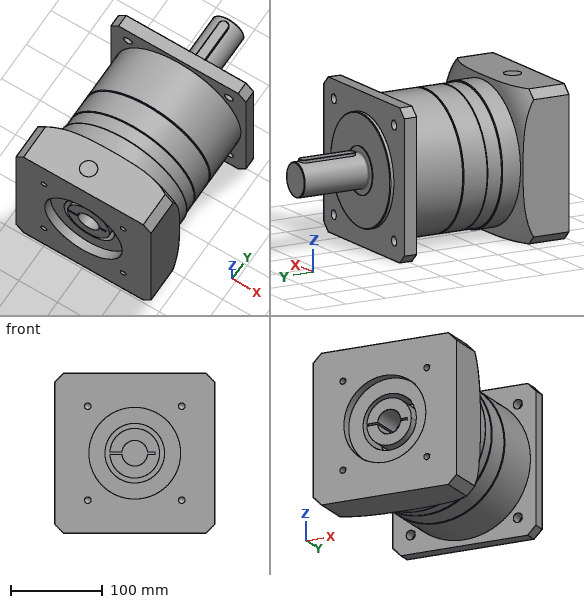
import cadquery as cq
import math


SHAFT_TIP = 294.5
SHOULDER_FACE = 213.5
PILOT_FACE = 212.5
FLANGE_FACE = 208.0
FLANGE_BACK = 192.3
HOUSING_END = 129.5
RING_GEAR_END = 98.7
COLLAR_START = 81.5
BLOCK_FACE = 58.3

SQUARE = 175.0
CORNER_CHAMFER = 10.0

EDGE_CHAMFER = 1.0

SHAFT_DIAMETER = 40.0
SHAFT_CHAMFER = 1.0
SHOULDER_DIAMETER = 55.0
SHOULDER_FILLET = 1.0
KEY_WIDTH = 12.0
KEY_LENGTH = 70.0
KEY_TOP = 22.7
KEY_HEIGHT = 8.0
KEY_CHAMFER = 0.45
KEY_TIP_MARGIN = 5.0

PILOT_DIAMETER = 130.0
PILOT_CHAMFER = 1.0
HOUSING_DIAMETER = 162.0
MOUNT_HOLE_DIAMETER = 11.0
MOUNT_HOLE_SPACING = 130.8

NECK_DIAMETER = HOUSING_DIAMETER
COLLAR_DIAMETER = 165.0
BLOCK_ROUND = 50.0
RECESS_DIAMETER = 100.0
RECESS_DEPTH = 11.8
CHAMBER_DIAMETER = 65.0
CHAMBER_DEPTH = 41.2
MOTOR_HOLE_DIAMETER = 7.0
MOTOR_HOLE_SPACING = 102.5
MOTOR_HOLE_DEPTH = 20.0
DRILL_TIP_ANGLE = 118.0

HUB_DIAMETER = 54.2
HUB_BORE = 28.0
HUB_PROTRUSION = 1.5
SLIT_WIDTH = 2.5
SLIT_INNER_END = 22.0

PLUG_DIAMETER = 20.0
PLUG_X = -10.0
PLUG_Y = 26.2
PLUG_THICKNESS = 6.0


def cylinder(diameter, y_start, y_end, x=0.0, z=0.0):
    axis_plane = cq.Workplane("XZ", origin=(x, y_start, z))
    return axis_plane.circle(diameter / 2).extrude(y_start - y_end)


def square_plate(y_start, y_end):
    plate = cq.Workplane("XZ", origin=(0, y_start, 0)).rect(SQUARE, SQUARE).extrude(y_start - y_end)
    return plate.edges("|Y").chamfer(CORNER_CHAMFER)


def corner_points(spacing):
    return [(sx * spacing / 2, sz * spacing / 2) for sx in (-1, 1) for sz in (-1, 1)]


def make_key():
    center_y = SHAFT_TIP - KEY_TIP_MARGIN - KEY_LENGTH / 2
    base = cq.Workplane("XY", origin=(0, center_y, KEY_TOP - KEY_HEIGHT))
    key = base.slot2D(KEY_LENGTH, KEY_WIDTH, 90).extrude(KEY_HEIGHT)
    return key.faces(">Z").chamfer(KEY_CHAMFER)


def make_shaft():
    """Journal with a chamfered tip and a filleted foot on a wider shoulder, plus its key."""
    radius = SHAFT_DIAMETER / 2
    shoulder_radius = SHOULDER_DIAMETER / 2
    shaft = (
        cq.Workplane("XY")
        .moveTo(0, FLANGE_BACK)
        .lineTo(shoulder_radius, FLANGE_BACK)
        .lineTo(shoulder_radius, SHOULDER_FACE)
        .lineTo(radius + SHOULDER_FILLET, SHOULDER_FACE)
        .radiusArc((radius, SHOULDER_FACE + SHOULDER_FILLET), SHOULDER_FILLET)
        .lineTo(radius, SHAFT_TIP - SHAFT_CHAMFER)
        .lineTo(radius - SHAFT_CHAMFER, SHAFT_TIP)
        .lineTo(0, SHAFT_TIP)
        .close()
        .revolve(360, (0, 0, 0), (0, 1, 0))
    )
    return shaft.union(make_key())


def make_output_housing():
    pilot = cylinder(PILOT_DIAMETER, FLANGE_BACK, PILOT_FACE).faces(">Y").chamfer(PILOT_CHAMFER)
    barrel = cylinder(HOUSING_DIAMETER, HOUSING_END, FLANGE_FACE).faces("<Y").chamfer(EDGE_CHAMFER)
    housing = square_plate(FLANGE_BACK, FLANGE_FACE).union(pilot).union(barrel)
    for x, z in corner_points(MOUNT_HOLE_SPACING):
        housing = housing.cut(cylinder(MOUNT_HOLE_DIAMETER, FLANGE_BACK, FLANGE_FACE, x, z))
    return housing.cut(cylinder(SHOULDER_DIAMETER, FLANGE_BACK, PILOT_FACE))


def make_ring_gear():
    ring = cylinder(HOUSING_DIAMETER, RING_GEAR_END, HOUSING_END)
    return ring.faces("<Y or >Y").chamfer(EDGE_CHAMFER)


def make_plug():
    base = cq.Workplane("XY", origin=(PLUG_X, PLUG_Y, SQUARE / 2 - PLUG_THICKNESS))
    return base.circle(PLUG_DIAMETER / 2).extrude(PLUG_THICKNESS)


def make_block():
    """Square block whose front corners fall away along an arc revolved about the axis."""
    flat_radius = COLLAR_DIAMETER / 2
    dome = (
        cq.Workplane("XY")
        .lineTo(0, BLOCK_FACE)
        .lineTo(flat_radius, BLOCK_FACE)
        .radiusArc((flat_radius + BLOCK_ROUND, BLOCK_FACE - BLOCK_ROUND), BLOCK_ROUND)
        .lineTo(flat_radius + BLOCK_ROUND, 0)
        .close()
        .revolve(360, (0, 0, 0), (0, 1, 0))
    )
    return square_plate(0, BLOCK_FACE).intersect(dome)


def make_motor_hole(x, z):
    radius = MOTOR_HOLE_DIAMETER / 2
    tip = MOTOR_HOLE_DEPTH + radius / math.tan(math.radians(DRILL_TIP_ANGLE / 2))
    profile = [(0, 0), (radius, 0), (radius, MOTOR_HOLE_DEPTH), (0, tip)]
    hole = cq.Workplane("XY").polyline(profile).close().revolve(360, (0, 0, 0), (0, 1, 0))
    return hole.translate((x, 0, z))


def make_motor_adapter(plug):
    collar = cylinder(COLLAR_DIAMETER, BLOCK_FACE, COLLAR_START).faces(">Y").chamfer(EDGE_CHAMFER)
    neck = cylinder(NECK_DIAMETER, COLLAR_START, RING_GEAR_END)
    adapter = make_block().union(collar).union(neck)
    adapter = adapter.cut(cylinder(RECESS_DIAMETER, 0, RECESS_DEPTH))
    adapter = adapter.cut(cylinder(CHAMBER_DIAMETER, RECESS_DEPTH, RECESS_DEPTH + CHAMBER_DEPTH))
    for x, z in corner_points(MOTOR_HOLE_SPACING):
        adapter = adapter.cut(make_motor_hole(x, z))
    return adapter.cut(plug)


def make_clamp_hub():
    hub_face = RECESS_DEPTH - HUB_PROTRUSION
    hub_end = RECESS_DEPTH + CHAMBER_DEPTH
    hub = cylinder(HUB_DIAMETER, hub_face, hub_end).cut(cylinder(HUB_BORE, hub_face, hub_end))
    slit_length = SLIT_INNER_END + HUB_DIAMETER / 2
    slit = cq.Workplane("XY").box(slit_length, hub_end - hub_face, SLIT_WIDTH, centered=(False, False, True))
    return hub.cut(slit.translate((-HUB_DIAMETER / 2, hub_face, 0)))


shaft = make_shaft()
output_housing = make_output_housing()
ring_gear = make_ring_gear()
plug = make_plug()
motor_adapter = make_motor_adapter(plug)
clamp_hub = make_clamp_hub()

result = cq.Compound.makeCompound([
    shaft.val(),
    output_housing.val(),
    ring_gear.val(),
    motor_adapter.val(),
    plug.val(),
    clamp_hub.val(),
])